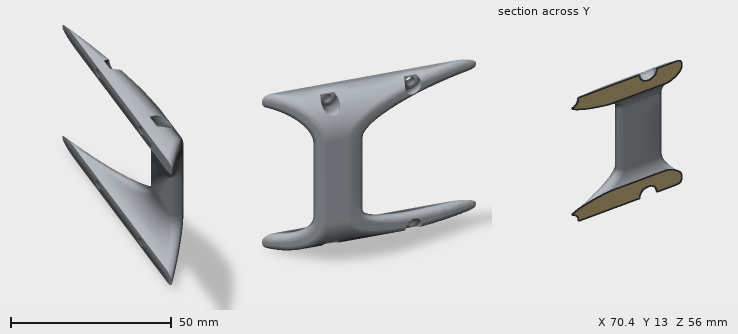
import cadquery as cq
import math

length = 70.4
depth = 13.0
height = 56.0

crest_left = 46.0
crest_right = 54.5

thickness = 5.0
inner_y = depth - thickness
outer_radius = depth
outer_foot_z = height / 2
outer_bend_z = outer_foot_z - outer_radius
inner_radius = 9.8
inner_bend_y = inner_y - inner_radius
inner_bend_z = 13.1
inner_foot_z = inner_bend_z + math.sqrt(inner_radius**2 - inner_bend_y**2)

edge_radius = 2.05

tolerance = 0.1

hole_diameter = 3.0
seat_diameter = 5.8
hole_z = 25.5
screws = [(22.8, 3.25), (50.55, 4.4)]


def bend_middle(radius, center_y, center_z, foot_z):
    """Point (y, z) halfway along the upper bend, from the grip to y = 0."""
    angle = math.atan2(foot_z - center_z, -center_y) / 2
    return center_y + radius * math.cos(angle), center_z + radius * math.sin(angle)


def make_bow():
    """Constant bow section along the whole length in X."""
    outer_y, outer_z = bend_middle(outer_radius, 0, outer_bend_z, outer_foot_z)
    middle_y, middle_z = bend_middle(inner_radius, inner_bend_y, inner_bend_z, inner_foot_z)
    return (
        cq.Workplane("YZ")
        .moveTo(0, outer_foot_z)
        .threePointArc((outer_y, outer_z), (depth, outer_bend_z))
        .lineTo(depth, -outer_bend_z)
        .threePointArc((outer_y, -outer_z), (0, -outer_foot_z))
        .lineTo(0, -inner_foot_z)
        .threePointArc((middle_y, -middle_z), (inner_y, -inner_bend_z))
        .lineTo(inner_y, inner_bend_z)
        .threePointArc((middle_y, middle_z), (0, inner_foot_z))
        .close()
        .extrude(length)
    )


def make_body():
    """Bow trimmed by the sloping sides, with its long edges rounded."""
    trapezoid = (
        cq.Workplane("XY", origin=(0, 0, -height / 2))
        .polyline([(0, 0), (crest_left, depth), (crest_right, depth), (length, 0)])
        .close()
        .extrude(height)
    )
    body = make_bow().intersect(trapezoid)
    sides = [face for face in body.faces("%PLANE").vals() if abs(face.normalAt().x) > tolerance]
    edges = [edge for face in sides for edge in face.Edges() if edge.Center().y > tolerance]
    return body.newObject(edges).fillet(edge_radius)


def cut_screw_hole(body, x, z, seat_y):
    """Through hole along Y and the round seat above it."""
    for diameter, start_y in ((hole_diameter, 0), (seat_diameter, seat_y)):
        cutter = cq.Solid.makeCylinder(diameter / 2, depth, cq.Vector(x, start_y, z), cq.Vector(0, 1, 0))
        body = body.cut(cq.Workplane(cutter))
    return body


result = make_body()
for screw_x, seat_height in screws:
    for screw_z in (-hole_z, hole_z):
        result = cut_screw_hole(result, screw_x, screw_z, seat_height)